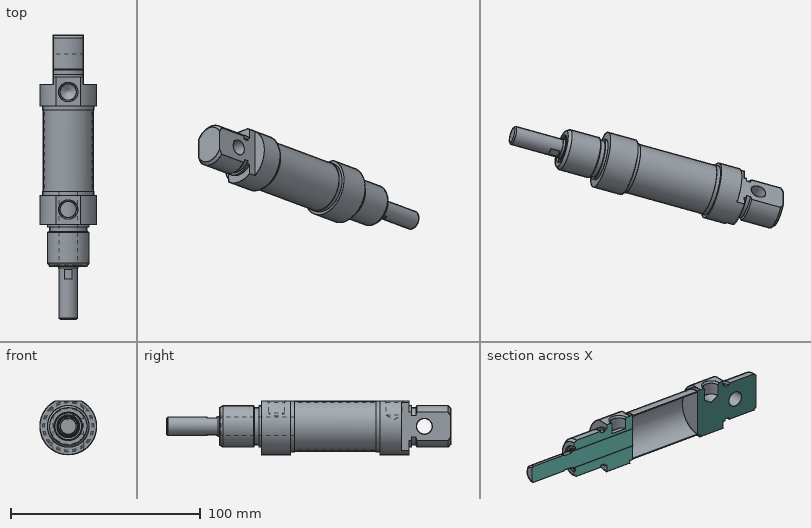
import cadquery as cq
import math


thread_radius = 22 / 2
thread_root_radius = 19.7 / 2
thread_root_depth = thread_radius - thread_root_radius
thread_collar = 1.3
relief_width = 2.2
relief_taper = thread_root_depth * math.tan(math.radians(30))

flange_radius = 30 / 2
port_flat_height = 13.5
collar_radius = 27 / 2
collar_length = 2.0

port_radius = 8.57 / 2
port_rim_radius = 10.2 / 2
port_rim_depth = 1.0
rear_port_depth = 7.5
drill_point_angle = 118

front_flange_length = 15.5
nose_length = 22
nose_chamfer = 1.7
front_port_y = 8
front_port_floor_radius = 14 / 2
wiper_recess_radius = 14.1 / 2
wiper_recess_rim_radius = 15 / 2
wiper_recess_depth = 0.8
lip_base_radius = 12 / 2
lip_shoulder_radius = 11.1 / 2
lip_radius = 10.5 / 2
lip_projection = 1.0
lip_shoulder_depth = 0.2

tube_outer_radius = 26.5 / 2
tube_bore_radius = 25 / 2
tube_front_y = front_flange_length + collar_length
tube_length = 43

rear_flange_length = 15.5
rear_boss_length = 22
rear_chamfer = 1.5
clevis_width = 16
clevis_shoulder = 4
clevis_hole_radius = 8.2 / 2
clevis_hole_inset = 14
rear_port_inset = 8
tube_rear_y = tube_front_y + tube_length
rear_flange_front_y = tube_rear_y + collar_length
rear_flange_rear_y = rear_flange_front_y + rear_flange_length
rear_end_y = rear_flange_rear_y + rear_boss_length

rod_radius = 9.9 / 2
rod_end_y = -50
rod_end_chamfer = 0.75
wrench_flat_width = 9
wrench_flat_start_y = -23.7
wrench_flat_length = 5


def revolve_about_y(points):
    """Solid of revolution about Y from (radius, y) points."""
    return cq.Workplane("XY").polyline(points).close().revolve(360, (0, 0, 0), (0, 1, 0))


def cylinder(radius, y_start, y_end):
    return revolve_about_y([(0, y_start), (radius, y_start), (radius, y_end), (0, y_end)])


def box_between(x_range, y_range, z_range):
    corner = (x_range[0], y_range[0], z_range[0])
    size = (x_range[1] - x_range[0], y_range[1] - y_range[0], z_range[1] - z_range[0])
    return cq.Workplane("XY").box(*size, centered=False).translate(corner)


def flange(y_start, length):
    """Round flange with a flat on top for the port."""
    disc = cylinder(flange_radius, y_start, y_start + length)
    above_flat = box_between(
        (-flange_radius, flange_radius),
        (y_start, y_start + length),
        (port_flat_height, flange_radius),
    )
    return disc.cut(above_flat)


def port_cutter(y, depth):
    """Drilled port with a countersunk rim and a conical drill point."""
    point_height = port_radius / math.tan(math.radians(drill_point_angle / 2))
    profile = [
        (0, port_flat_height),
        (port_rim_radius, port_flat_height),
        (port_radius, port_flat_height - port_rim_depth),
        (port_radius, port_flat_height - depth),
        (0, port_flat_height - depth - point_height),
    ]
    cutter = cq.Workplane("XZ").polyline(profile).close().revolve(360, (0, 0, 0), (0, 1, 0))
    return cutter.translate((0, y, 0))


def make_front_head():
    nose_y = -nose_length
    relief_y = -thread_collar
    thread_y = relief_y - relief_width
    turned = revolve_about_y([
        (0, tube_front_y),
        (collar_radius, tube_front_y),
        (collar_radius, 0),
        (thread_radius, 0),
        (thread_radius, relief_y),
        (thread_root_radius, relief_y),
        (thread_root_radius, thread_y),
        (thread_radius, thread_y - relief_taper),
        (thread_radius, nose_y + nose_chamfer),
        (thread_root_radius, nose_y),
        (wiper_recess_rim_radius, nose_y),
        (wiper_recess_radius, nose_y + wiper_recess_depth),
        (lip_base_radius, nose_y + wiper_recess_depth),
        (lip_shoulder_radius, nose_y + lip_shoulder_depth),
        (lip_radius, nose_y + lip_shoulder_depth),
        (lip_radius, nose_y - lip_projection),
        (0, nose_y - lip_projection),
    ])
    rod_bore = cylinder(rod_radius, nose_y - lip_projection, tube_front_y)
    port_floor = cylinder(front_port_floor_radius, 0, front_flange_length)
    port = port_cutter(front_port_y, port_flat_height).cut(port_floor)
    return turned.union(flange(0, front_flange_length)).cut(port).cut(rod_bore)


def make_tube():
    return revolve_about_y([
        (tube_bore_radius, tube_front_y),
        (tube_outer_radius, tube_front_y),
        (tube_outer_radius, tube_rear_y),
        (tube_bore_radius, tube_rear_y),
    ])


def make_rear_head():
    relief_y = rear_flange_rear_y + thread_collar
    thread_y = relief_y + relief_width
    turned = revolve_about_y([
        (0, tube_rear_y),
        (collar_radius, tube_rear_y),
        (collar_radius, rear_flange_rear_y),
        (thread_radius, rear_flange_rear_y),
        (thread_radius, relief_y),
        (thread_root_radius, relief_y),
        (thread_root_radius, thread_y),
        (thread_radius, thread_y + relief_taper),
        (thread_radius, rear_end_y - rear_chamfer),
        (thread_radius - rear_chamfer, rear_end_y),
        (0, rear_end_y),
    ])
    head = turned.union(flange(rear_flange_front_y, rear_flange_length))
    for x_range in ((-flange_radius, -clevis_width / 2), (clevis_width / 2, flange_radius)):
        head = head.cut(box_between(
            x_range,
            (rear_flange_rear_y - clevis_shoulder, rear_end_y),
            (-flange_radius, flange_radius),
        ))
    clevis_hole = (
        cq.Workplane("YZ")
        .center(rear_end_y - clevis_hole_inset, 0)
        .circle(clevis_hole_radius)
        .extrude(clevis_width / 2, both=True)
    )
    port = port_cutter(rear_flange_rear_y - rear_port_inset, rear_port_depth)
    return head.cut(clevis_hole).cut(port)


def make_rod():
    rod = revolve_about_y([
        (0, tube_front_y),
        (rod_radius, tube_front_y),
        (rod_radius, rod_end_y + rod_end_chamfer),
        (rod_radius - rod_end_chamfer, rod_end_y),
        (0, rod_end_y),
    ])
    for z_range in ((-rod_radius, -wrench_flat_width / 2), (wrench_flat_width / 2, rod_radius)):
        rod = rod.cut(box_between(
            (-rod_radius, rod_radius),
            (wrench_flat_start_y - wrench_flat_length, wrench_flat_start_y),
            z_range,
        ))
    return rod


front_head = make_front_head()
tube = make_tube()
rear_head = make_rear_head()
rod = make_rod()

result = cq.Compound.makeCompound([front_head.val(), tube.val(), rear_head.val(), rod.val()])